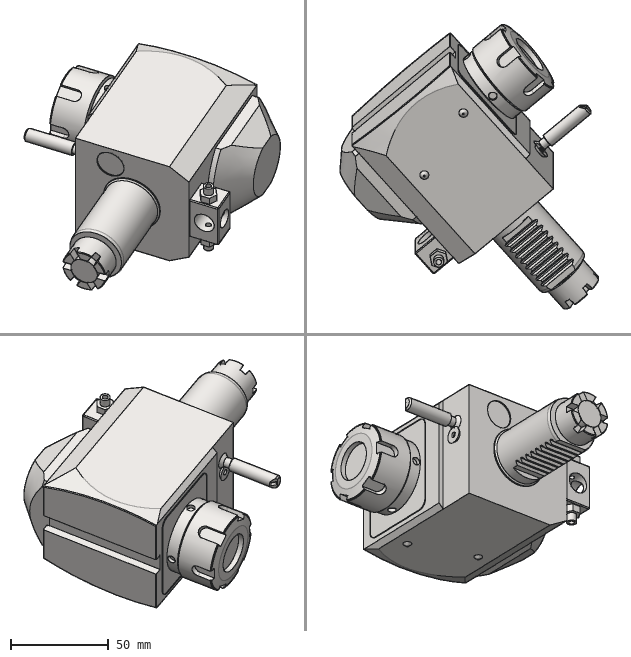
import cadquery as cq
import math


BODY_HALF_X = 32.0
BODY_HALF_Z = 32.0
BODY_DEPTH = 84.0
SIDE_CHAMFER_X = 11.0
SIDE_CHAMFER_Z = 6.5
BACK_CHAMFER = 0.5
STEP_THICKNESS = 2.7
STEP_START_Y = 21.3
STEP_X = -BODY_HALF_X - STEP_THICKNESS
PAD_THICKNESS = 0.5
PAD_SIZE_Y = 45.2
PAD_SIZE_Z = 53.2
PAD_RADIUS = 4.6
PAD_X = STEP_X - PAD_THICKNESS
CROWN_RADIUS = 153.0
CROWN_X = -9.2
CROWN_Z = 31.2
CROWN_TILT = 15.5
NOTCH_WIDTH = 10.0
NOTCH_DEPTH = 4.1
PLUG_X = -12.3
PLUG_Z = 21.5
PLUG_RADIUS = 7.6
PLUG_DEPTH = 0.7

SPINDLE_Y = 55.0
NUT_FACE_X = -63.8
NUT_CONE_X = -62.6
NUT_RIM_X = -62.0
NUT_BACK_X = -43.3
NUT_RADIUS = 21.0
NUT_RIM_RADIUS = 20.5
NUT_BORE_RADIUS = 10.5
NUT_FACE_RADIUS = 15.0
NUT_BORE_DEPTH = 2.9
NUT_SLOTS = 6
NUT_SLOT_WIDTH = 6.6
NUT_SLOT_END_X = -51.5
NUT_LONG_SLOT_END_X = -49.5
NUT_SLOT_FLOOR = 18.0
NECK_RADIUS = 17.2
FLANGE_FRONT_X = -42.3
FLANGE_BACK_X = -36.0
FLANGE_RADIUS = 20.0
FLANGE_HOLES = 4
FLANGE_HOLE_X = -38.8
FLANGE_HOLE_RADIUS = 2.1
FLANGE_HOLE_DEPTH = 2.1

CAP_RADIUS = 32.2
CAP_RIM_X = 35.0
CAP_END_X = 50.6
CAP_HALF_Z = 23.0
CAP_FACET_X = 38.5
CAP_FACET_END_Z = 15.9
CAP_BACK_Y = 80.0

COLLAR_RADIUS = 15.9
COLLAR_LENGTH = 0.7
COLLAR_CONE_END = 1.5
SHANK_RADIUS = 15.0
SHANK_LENGTH = 44.8
SHANK_CHAMFER_LENGTH = 1.9
SHANK_CHAMFER = 0.5
FLAT_START = 7.3
FLAT_Z = -12.2
RACK_GROOVES = 8
RACK_START = 12.0
RACK_PITCH = 4.0
RACK_DEPTH = 1.6
RACK_TOP_HALF = 0.5
RACK_MOUTH_HALF = 1.5

DRIVE_NECK_RADIUS = 9.5
DRIVE_START = 45.9
DRIVE_END = 59.0
DRIVE_RADIUS = 12.2
DRIVE_CHAMFER = 0.5
DRIVE_SLOTS = 6
DRIVE_SLOT_DEPTH = 4.1
DRIVE_SLOT_FLOOR_WIDTH = 3.3
DRIVE_SLOT_MOUTH_WIDTH = 4.1
DRIVE_CORE_RADIUS = 7.5
DRIVE_CORE_RECESS = 0.3

PIPE_Y = 10.9
PIPE_Z = 14.0
PIPE_RADIUS = 3.6
PIPE_END_X = -64.8
PIPE_BACK_X = -37.8
PIPE_CHAMFER = 0.9
PIPE_NECK_RADIUS = 2.6
PIPE_FOOT_X = -33.9
PIPE_FOOT_RADIUS = 4.1
PIPE_BEVEL_Y = 0.5
PIPE_HOLE_RADIUS = 1.0
PIPE_HOLE_DEPTH = 2.9
PIPE_HOLE_OFFSET = 1.9
SCREW_Z = 6.6
SCREW_TOP_X = -33.6
SCREW_RADIUS = 4.6
SCREW_FOOT_RADIUS = 3.5
SCREW_SOCKET_RADIUS = 1.5
SCREW_SOCKET_DEPTH = 1.1

BLOCK_FRONT_Y = 1.0
BLOCK_BACK_Y = 16.0
BLOCK_END_X = 48.2
BLOCK_HALF_Z = 12.6
BLOCK_CHAMFER = 0.6
BLOCK_HOLE_X = 40.2
BLOCK_HOLE_RADIUS = 5.6
SIDE_PORT_RADIUS = 5.0
NOZZLE_X = BLOCK_HOLE_X
NOZZLE_Y = 6.3
HEX_DIAMETER = 9.5
HEX_TOP_Z = 16.6
NOZZLE_RADIUS = 2.6
NOZZLE_TOP_Z = 21.0
NOZZLE_BORE_RADIUS = 1.5

NIPPLE_PLACES = [(-23.9, 60.9), (13.0, 48.9)]
NIPPLE_RADIUS = 2.3
NIPPLE_TIP_RADIUS = 0.5
NIPPLE_HEIGHT = 1.6

OVERLAP = 1.5


def box(x0, x1, y0, y1, z0, z1):
    """Box between two opposite corners."""
    return (
        cq.Workplane("XY")
        .box(x1 - x0, y1 - y0, z1 - z0, centered=False)
        .translate((x0, y0, z0))
    )


def turned_x(profile, y, z):
    """Solid of revolution about the X-parallel axis through (y, z); points are (x, radius)."""
    outline = cq.Workplane("XY").polyline(profile).close()
    return outline.revolve(360, (0, 0), (1, 0)).translate((0, y, z))


def turned_y(profile):
    """Solid of revolution about the Y axis; points are (radius, y)."""
    outline = cq.Workplane("XY").polyline(profile).close()
    return outline.revolve(360, (0, 0), (0, 1))


def crown(side):
    """Large tilted cylinder bounding the body above (side = 1) or below (side = -1)."""
    length = 4 * BODY_DEPTH
    cylinder = cq.Workplane("XZ").circle(CROWN_RADIUS).extrude(length / 2, both=True)
    cylinder = cylinder.rotate((0, 0, 0), (1, 0, 0), -side * CROWN_TILT)
    axis_drop = CROWN_RADIUS / math.cos(math.radians(CROWN_TILT))
    return cylinder.translate((CROWN_X, BODY_DEPTH, side * (CROWN_Z - axis_drop)))


def make_body():
    chamfer_start_x = BODY_HALF_X - SIDE_CHAMFER_X
    chamfer_z = BODY_HALF_Z - SIDE_CHAMFER_Z
    step_z = BODY_HALF_Z - STEP_THICKNESS
    main = (
        cq.Workplane("XZ")
        .polyline([
            (-BODY_HALF_X, -BODY_HALF_Z),
            (chamfer_start_x, -BODY_HALF_Z),
            (BODY_HALF_X, -chamfer_z),
            (BODY_HALF_X, chamfer_z),
            (chamfer_start_x, BODY_HALF_Z),
            (-BODY_HALF_X, BODY_HALF_Z),
        ])
        .close()
        .extrude(-BODY_DEPTH)
    )
    step = (
        cq.Workplane("XZ", origin=(0, STEP_START_Y, 0))
        .polyline([
            (-BODY_HALF_X, -BODY_HALF_Z),
            (-BODY_HALF_X, BODY_HALF_Z),
            (STEP_X, step_z),
            (STEP_X, -step_z),
        ])
        .close()
        .extrude(STEP_START_Y - BODY_DEPTH)
    )
    body = main.union(step).intersect(crown(1)).intersect(crown(-1))
    body = body.faces(">Y").chamfer(BACK_CHAMFER)
    notch = box(
        STEP_X - OVERLAP, BODY_HALF_X + OVERLAP,
        BODY_DEPTH - NOTCH_DEPTH, BODY_DEPTH + OVERLAP,
        -NOTCH_WIDTH / 2, NOTCH_WIDTH / 2,
    )
    plug = cq.Workplane("XZ").center(PLUG_X, PLUG_Z).circle(PLUG_RADIUS).extrude(-PLUG_DEPTH)
    pad = (
        box(
            PAD_X, STEP_X + OVERLAP,
            SPINDLE_Y - PAD_SIZE_Y / 2, SPINDLE_Y + PAD_SIZE_Y / 2,
            -PAD_SIZE_Z / 2, PAD_SIZE_Z / 2,
        )
        .edges("|X")
        .fillet(PAD_RADIUS)
    )
    return body.cut(notch).cut(plug).union(pad)


def make_nut_slot(end_x):
    """Round-ended cutter for one wrench slot, pointing along +Z."""
    half_width = NUT_SLOT_WIDTH / 2
    open_x = NUT_FACE_X - OVERLAP
    round_x = end_x - half_width
    return (
        cq.Workplane("XY", origin=(0, 0, NUT_SLOT_FLOOR))
        .moveTo(open_x, -half_width)
        .lineTo(round_x, -half_width)
        .threePointArc((end_x, 0), (round_x, half_width))
        .lineTo(open_x, half_width)
        .close()
        .extrude(NUT_RADIUS - NUT_SLOT_FLOOR + OVERLAP)
    )


def make_spindle():
    bore_floor_x = NUT_FACE_X + NUT_BORE_DEPTH
    spindle = turned_x([
        (bore_floor_x, 0),
        (bore_floor_x, NUT_BORE_RADIUS),
        (NUT_FACE_X, NUT_BORE_RADIUS),
        (NUT_FACE_X, NUT_FACE_RADIUS),
        (NUT_CONE_X, NUT_RIM_RADIUS),
        (NUT_RIM_X, NUT_RIM_RADIUS),
        (NUT_RIM_X, NUT_RADIUS),
        (NUT_BACK_X, NUT_RADIUS),
        (NUT_BACK_X, NECK_RADIUS),
        (FLANGE_FRONT_X, NECK_RADIUS),
        (FLANGE_FRONT_X, FLANGE_RADIUS),
        (FLANGE_BACK_X, FLANGE_RADIUS),
        (FLANGE_BACK_X, NECK_RADIUS),
        (STEP_X, NECK_RADIUS),
        (STEP_X, 0),
    ], 0, 0)

    for i in range(NUT_SLOTS):
        is_upper = i in (0, NUT_SLOTS - 1)
        slot = make_nut_slot(NUT_LONG_SLOT_END_X if is_upper else NUT_SLOT_END_X)
        angle = 360 / NUT_SLOTS * (i + 0.5)
        spindle = spindle.cut(slot.rotate((0, 0, 0), (1, 0, 0), angle))

    hole = (
        cq.Workplane("XY", origin=(FLANGE_HOLE_X, 0, FLANGE_RADIUS - FLANGE_HOLE_DEPTH))
        .circle(FLANGE_HOLE_RADIUS)
        .extrude(FLANGE_HOLE_DEPTH + OVERLAP)
    )
    for i in range(FLANGE_HOLES):
        spindle = spindle.cut(hole.rotate((0, 0, 0), (1, 0, 0), 360 / FLANGE_HOLES * i))
    return spindle.translate((0, SPINDLE_Y, 0))


def make_cap():
    end_radius = CAP_RADIUS - (CAP_END_X - CAP_RIM_X)
    start_x = BODY_HALF_X - OVERLAP
    cone = turned_x([
        (start_x, 0),
        (start_x, CAP_RADIUS),
        (CAP_RIM_X, CAP_RADIUS),
        (CAP_END_X, end_radius),
        (CAP_END_X, 0),
    ], SPINDLE_Y, 0)
    envelope = (
        cq.Workplane("XZ", origin=(0, CAP_BACK_Y, 0))
        .polyline([
            (start_x, -CAP_HALF_Z),
            (CAP_FACET_X, -CAP_HALF_Z),
            (CAP_END_X, -CAP_FACET_END_Z),
            (CAP_END_X, CAP_FACET_END_Z),
            (CAP_FACET_X, CAP_HALF_Z),
            (start_x, CAP_HALF_Z),
        ])
        .close()
        .extrude(2 * CAP_RADIUS)
    )
    return cone.intersect(envelope)


def make_shank():
    chamfer_y = -SHANK_LENGTH + SHANK_CHAMFER_LENGTH
    shank = turned_y([
        (0, OVERLAP),
        (COLLAR_RADIUS, OVERLAP),
        (COLLAR_RADIUS, -COLLAR_LENGTH),
        (SHANK_RADIUS, -COLLAR_CONE_END),
        (SHANK_RADIUS, chamfer_y),
        (SHANK_RADIUS - SHANK_CHAMFER, -SHANK_LENGTH),
        (0, -SHANK_LENGTH),
    ])
    flat = box(
        -SHANK_RADIUS, SHANK_RADIUS,
        -SHANK_LENGTH, -FLAT_START,
        -2 * SHANK_RADIUS, FLAT_Z,
    )
    shank = shank.cut(flat)
    groove = (
        cq.Workplane("YZ")
        .polyline([
            (-RACK_MOUTH_HALF, FLAT_Z),
            (-RACK_TOP_HALF, FLAT_Z + RACK_DEPTH),
            (RACK_TOP_HALF, FLAT_Z + RACK_DEPTH),
            (RACK_MOUTH_HALF, FLAT_Z),
        ])
        .close()
        .extrude(SHANK_RADIUS, both=True)
    )
    for i in range(RACK_GROOVES):
        shank = shank.cut(groove.translate((0, -RACK_START - i * RACK_PITCH, 0)))
    return shank


def make_drive():
    drive = turned_y([
        (0, -SHANK_LENGTH + OVERLAP),
        (DRIVE_NECK_RADIUS, -SHANK_LENGTH + OVERLAP),
        (DRIVE_NECK_RADIUS, -DRIVE_START),
        (DRIVE_RADIUS, -DRIVE_START),
        (DRIVE_RADIUS, -DRIVE_END + DRIVE_CHAMFER),
        (DRIVE_RADIUS - DRIVE_CHAMFER, -DRIVE_END),
        (0, -DRIVE_END),
    ])
    slot = (
        cq.Workplane("YZ")
        .polyline([
            (-DRIVE_END, -DRIVE_SLOT_MOUTH_WIDTH / 2),
            (-DRIVE_END + DRIVE_SLOT_DEPTH, -DRIVE_SLOT_FLOOR_WIDTH / 2),
            (-DRIVE_END + DRIVE_SLOT_DEPTH, DRIVE_SLOT_FLOOR_WIDTH / 2),
            (-DRIVE_END, DRIVE_SLOT_MOUTH_WIDTH / 2),
        ])
        .close()
        .extrude(DRIVE_RADIUS + OVERLAP)
    )
    core = cq.Workplane("XZ").circle(DRIVE_CORE_RADIUS).extrude(DRIVE_END + OVERLAP)
    slot = slot.cut(core)
    recess = core.intersect(box(
        -DRIVE_RADIUS, DRIVE_RADIUS,
        -DRIVE_END - OVERLAP, -DRIVE_END + DRIVE_CORE_RECESS,
        -DRIVE_RADIUS, DRIVE_RADIUS,
    ))
    drive = drive.cut(recess)
    for i in range(DRIVE_SLOTS):
        drive = drive.cut(slot.rotate((0, 0, 0), (0, 1, 0), 360 / DRIVE_SLOTS * i))
    return drive


def make_pipe():
    pipe = turned_x([
        (PIPE_END_X, 0),
        (PIPE_END_X, PIPE_RADIUS - PIPE_CHAMFER),
        (PIPE_END_X + PIPE_CHAMFER, PIPE_RADIUS),
        (PIPE_BACK_X, PIPE_RADIUS),
        (PIPE_BACK_X, PIPE_NECK_RADIUS),
        (PIPE_FOOT_X, PIPE_NECK_RADIUS),
        (-BODY_HALF_X, PIPE_FOOT_RADIUS),
        (-BODY_HALF_X + OVERLAP, PIPE_FOOT_RADIUS),
        (-BODY_HALF_X + OVERLAP, 0),
    ], 0, 0)
    bevel_run = PIPE_RADIUS - PIPE_BEVEL_Y + OVERLAP
    bevel = (
        cq.Workplane("XY")
        .polyline([
            (PIPE_END_X, PIPE_BEVEL_Y),
            (PIPE_END_X + bevel_run, PIPE_BEVEL_Y + bevel_run),
            (PIPE_END_X, PIPE_BEVEL_Y + bevel_run),
        ])
        .close()
        .extrude(PIPE_RADIUS, both=True)
    )
    hole_x = PIPE_END_X + PIPE_HOLE_OFFSET - PIPE_BEVEL_Y
    outlet = (
        cq.Workplane("XY", origin=(hole_x, PIPE_HOLE_OFFSET, 0))
        .transformed(rotate=(0, 90, 0))
        .transformed(rotate=(-45, 0, 0))
        .circle(PIPE_HOLE_RADIUS)
        .extrude(PIPE_HOLE_DEPTH / 2, both=True)
    )
    return pipe.cut(bevel).cut(outlet).translate((0, PIPE_Y, PIPE_Z))


def make_screw():
    socket_x = SCREW_TOP_X + SCREW_SOCKET_DEPTH
    return turned_x([
        (socket_x, 0),
        (socket_x, SCREW_SOCKET_RADIUS),
        (SCREW_TOP_X, SCREW_SOCKET_RADIUS),
        (SCREW_TOP_X, SCREW_RADIUS),
        (-BODY_HALF_X, SCREW_FOOT_RADIUS),
        (-BODY_HALF_X + OVERLAP, SCREW_FOOT_RADIUS),
        (-BODY_HALF_X + OVERLAP, 0),
    ], PIPE_Y, SCREW_Z)


def make_nozzle():
    hexagon = (
        cq.Workplane("XY", origin=(0, 0, BLOCK_HALF_Z - OVERLAP))
        .polygon(6, HEX_DIAMETER)
        .extrude(HEX_TOP_Z - BLOCK_HALF_Z + OVERLAP)
    )
    stem = (
        cq.Workplane("XY", origin=(0, 0, HEX_TOP_Z))
        .circle(NOZZLE_RADIUS)
        .extrude(NOZZLE_TOP_Z - HEX_TOP_Z)
    )
    return hexagon.union(stem).translate((NOZZLE_X, NOZZLE_Y, 0))


def make_coolant_block():
    block = box(
        BODY_HALF_X - OVERLAP, BLOCK_END_X,
        BLOCK_FRONT_Y, BLOCK_BACK_Y,
        -BLOCK_HALF_Z, BLOCK_HALF_Z,
    )
    block = block.edges("not <X").chamfer(BLOCK_CHAMFER)
    hole = (
        cq.Workplane("XZ")
        .center(BLOCK_HOLE_X, 0)
        .circle(BLOCK_HOLE_RADIUS)
        .extrude(-BLOCK_BACK_Y - OVERLAP)
    )
    nozzle = make_nozzle()
    nozzle_bore = (
        cq.Workplane("XY", origin=(NOZZLE_X, NOZZLE_Y, 0))
        .circle(NOZZLE_BORE_RADIUS)
        .extrude(NOZZLE_TOP_Z + OVERLAP, both=True)
    )
    port_y = (BLOCK_FRONT_Y + BLOCK_BACK_Y) / 2
    side_port = (
        cq.Workplane("YZ", origin=(BLOCK_HOLE_X, port_y, 0))
        .circle(SIDE_PORT_RADIUS)
        .extrude(BLOCK_END_X - BLOCK_HOLE_X + OVERLAP)
    )
    block = block.union(nozzle).union(nozzle.mirror("XY"))
    return block.cut(hole).cut(nozzle_bore).cut(side_port)


def make_nipple(x, y):
    profile = [
        (0, -BODY_HALF_Z + OVERLAP),
        (NIPPLE_RADIUS, -BODY_HALF_Z + OVERLAP),
        (NIPPLE_RADIUS, -BODY_HALF_Z),
        (NIPPLE_TIP_RADIUS, -BODY_HALF_Z - NIPPLE_HEIGHT),
        (0, -BODY_HALF_Z - NIPPLE_HEIGHT),
    ]
    nipple = cq.Workplane("XZ").polyline(profile).close().revolve(360, (0, 0), (0, 1))
    return nipple.translate((x, y, 0))


result = (
    make_body()
    .union(make_spindle())
    .union(make_cap())
    .union(make_shank())
    .union(make_drive())
    .union(make_screw())
    .union(make_pipe())
    .union(make_coolant_block())
)
for nipple_x, nipple_y in NIPPLE_PLACES:
    result = result.union(make_nipple(nipple_x, nipple_y))